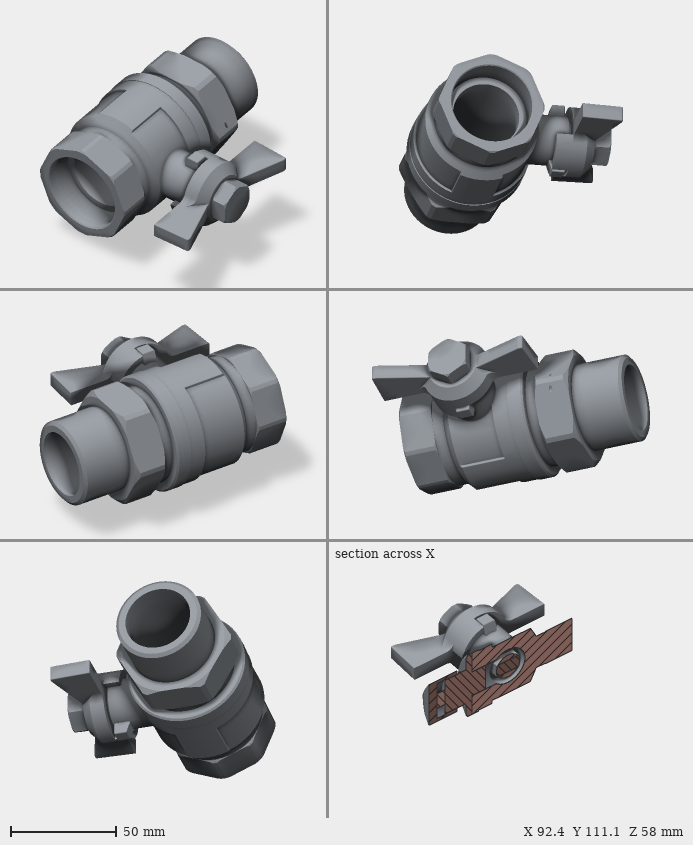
import cadquery as cq
import math


inlet_end = -38.5
octagon_back = -22.3
neck_back = -17.0
cone_start = -12.1
relief_back = 9.4
collar_start = 17.5
collar_joint = 21.8
collar_end = 25.1
union_front = 30.2
adapter_end = 37.8
tail_flange_end = 42.2
union_back = 47.4
tail_end = 72.1

bore_d = 32.0
inlet_bore_d = 39.0
inlet_mouth_d = 40.0
ball_d = 45.8
body_d = 57.2
relief_d = 54.8
collar_d = 58.0
inlet_neck_d = 47.8
adapter_neck_d = 48.4
tail_d = 42.0
tail_flange_d = 44.4

inlet_bore_depth = 14.8
octagon_flats = 47.9
octagon_corner_d = 51.0
octagon_bevel = 0.7
pad_half_width = 10.1
relief_fillet = 0.3
boss_d = 24.0
boss_end = 43.0
boss_chamfer = 0.3
boss_root_fillet = 0.9
lug_base_start = 34.3
lug_top_start = 36.1
lug_end = 42.2
lug_top = 17.3
lug_width = 6.7
lug_fillet = 0.5

adapter_plug_start = 13.3
collar_chamfer = 0.9
union_flats = 50.3
union_corner_d = 56.7
union_face_d = 51.5
union_chamfer = 1.7
seal_hole_d = 1.5
seal_hole_x = 26.7
seal_hole_y = 38.9
tail_chamfer_length = 1.3
tail_chamfer_depth = 1.7

stem_d = 20.0
stem_start = 26.7
stem_thread_d = 10.2
tang_length = 5.0
tang_width = 13.3
tang_thickness = 6.7
handle_base = 43.8
hub_d = 33.1
hub_cylinder_end = 50.8
hub_end = 55.3
skirt_start = 35.9
skirt_inner_d = 25.8
skirt_gap_y = 3.3
skirt_gap_z = 3.1
wing_thickness = 7.3
wing_half_span = 39.0
wing_tip_y = 38.1
wing_corner_y = 36.0
wing_root_y = 12.2
wing_edge_fillet = 0.4
wing_tip_fillet = 0.8
gusset_radius = 5.0
nut_end = 63.4
nut_flats = 18.8
nut_chamfer = 1.0


def cylinder_y(diameter, start, end):
    """Cylinder on the pipe axis."""
    return cq.Workplane("XZ", origin=(0, start, 0)).circle(diameter / 2).extrude(start - end)


def cylinder_x(diameter, start, end):
    """Cylinder on the stem axis."""
    return cq.Workplane("YZ", origin=(start, 0, 0)).circle(diameter / 2).extrude(end - start)


def turned_y(points):
    """Solid turned about the pipe axis from (radius, y) points."""
    return cq.Workplane("XY").polyline(points).close().revolve(360, (0, 0, 0), (0, 1, 0))


def turned_x(points):
    """Solid turned about the stem axis from (x, radius) points."""
    return cq.Workplane("XY").polyline(points).close().revolve(360, (0, 0, 0), (1, 0, 0))


def bevelled_blank(start, end, outer_d, face_d, bevel):
    """(axial place, radius) points of a cylinder whose two ends are bevelled to face_d."""
    return [
        (start, 0),
        (start, face_d / 2),
        (start + bevel, outer_d / 2),
        (end - bevel, outer_d / 2),
        (end, face_d / 2),
        (end, 0),
    ]


def swapped(points):
    return [(second, first) for first, second in points]


def polygon_prism_y(sides, flats, start, end):
    """Regular prism on the pipe axis with a corner on +X."""
    corner_d = flats / math.cos(math.pi / sides)
    return cq.Workplane("XZ", origin=(0, start, 0)).polygon(sides, corner_d).extrude(start - end)


def box_between(low, high):
    size = [b - a for a, b in zip(low, high)]
    return cq.Workplane("XY").box(*size, centered=False).translate(low)


def make_tang():
    """Flat tongue of the stem that turns the ball."""
    return box_between(
        (stem_start - tang_length, -tang_width / 2, -tang_thickness / 2),
        (stem_start, tang_width / 2, tang_thickness / 2),
    )


def make_lug(side):
    """Stop lug on the boss, on the +Z (side=1) or -Z (side=-1) side."""
    root = 0.4 * boss_d
    lug = (
        cq.Workplane("XZ", origin=(0, lug_width / 2, 0))
        .polyline([
            (lug_base_start, root),
            (lug_base_start, boss_d / 2),
            (lug_top_start, lug_top),
            (lug_end, lug_top),
            (lug_end, root),
        ])
        .close()
        .extrude(lug_width)
    )
    lug = lug.faces("<X or >X or >Z").edges("not <Z").fillet(lug_fillet)
    return lug if side > 0 else lug.mirror("XY")


def make_body_shell():
    """Outer turned shape of the housing with the two side reliefs that leave the marking pads."""
    cone_run = neck_back - cone_start
    body = turned_y([
        (0, octagon_back),
        (inlet_neck_d / 2, octagon_back),
        (inlet_neck_d / 2, neck_back),
        (body_d / 2 + cone_run, neck_back),
        (body_d / 2, cone_start),
        (body_d / 2, collar_start),
        (collar_d / 2, collar_start),
        (collar_d / 2, collar_joint),
        (0, collar_joint),
    ])
    ring = cylinder_y(2 * body_d, neck_back, relief_back).cut(cylinder_y(relief_d, neck_back, relief_back))
    for side in (1, -1):
        near, far = sorted((side * pad_half_width, side * body_d))
        relief = ring.intersect(box_between((near, neck_back, -body_d), (far, relief_back, body_d)))
        body = body.cut(relief)
    return body


def make_housing():
    body = make_body_shell()
    boss = cylinder_x(boss_d, 0, boss_end).faces(">X").chamfer(boss_chamfer)
    body = body.union(boss)

    root = cq.selectors.BoxSelector((body_d / 4, -boss_d, -boss_d), (0.6 * body_d, boss_d, boss_d))
    body = body.edges(root).edges("%BSPLINE").fillet(boss_root_fillet)
    for side_x in (1, -1):
        for side_z in (1, -1):
            foot = (side_x * pad_half_width, 0, side_z * math.sqrt(relief_d**2 / 4 - pad_half_width**2))
            body = body.edges("|Y").edges(cq.selectors.NearestToPointSelector(foot)).fillet(relief_fillet)

    for side in (1, -1):
        body = body.union(make_lug(side))

    octagon = polygon_prism_y(8, octagon_flats, inlet_end, octagon_back)
    blank = bevelled_blank(
        inlet_end, octagon_back, octagon_corner_d, octagon_corner_d - 2 * octagon_bevel, octagon_bevel
    )
    body = body.union(octagon.intersect(turned_y(swapped(blank))))

    mouth_bevel = (inlet_mouth_d - inlet_bore_d) / 2
    inlet_bore = turned_y([
        (0, inlet_end),
        (inlet_mouth_d / 2, inlet_end),
        (inlet_bore_d / 2, inlet_end + mouth_bevel),
        (inlet_bore_d / 2, inlet_end + inlet_bore_depth),
        (0, inlet_end + inlet_bore_depth),
    ])
    body = body.cut(inlet_bore)
    body = body.cut(cylinder_y(bore_d, inlet_end, 0))
    body = body.cut(cq.Workplane("XY").sphere(ball_d / 2))
    body = body.cut(cylinder_y(ball_d, 0, collar_joint))
    return body.cut(cylinder_x(stem_d, 0, boss_end))


def make_adapter():
    """End piece that closes the ball chamber and carries the union nut."""
    adapter = turned_y([
        (bore_d / 2, adapter_plug_start),
        (ball_d / 2, adapter_plug_start),
        (ball_d / 2, collar_joint),
        (collar_d / 2, collar_joint),
        (collar_d / 2, collar_end - collar_chamfer),
        (collar_d / 2 - collar_chamfer, collar_end),
        (adapter_neck_d / 2, collar_end),
        (adapter_neck_d / 2, adapter_end),
        (bore_d / 2, adapter_end),
    ])
    return adapter.cut(cq.Workplane("XY").sphere(ball_d / 2))


def make_union_nut():
    hexagon = polygon_prism_y(6, union_flats, union_front, union_back)
    blank = bevelled_blank(union_front, union_back, union_corner_d, union_face_d, union_chamfer)
    nut = hexagon.intersect(turned_y(swapped(blank)))
    nut = nut.cut(cylinder_y(adapter_neck_d, union_front, tail_flange_end))
    nut = nut.cut(cylinder_y(tail_d, union_front, union_back))
    seal_hole = (
        cq.Workplane("XY", origin=(seal_hole_x, seal_hole_y, 0))
        .circle(seal_hole_d / 2)
        .extrude(union_flats, both=True)
    )
    return nut.cut(seal_hole)


def make_tail():
    """Tail pipe whose flange is held between the adapter and the union nut."""
    return turned_y([
        (bore_d / 2, adapter_end),
        (tail_flange_d / 2, adapter_end),
        (tail_flange_d / 2, tail_flange_end),
        (tail_d / 2, tail_flange_end),
        (tail_d / 2, tail_end - tail_chamfer_length),
        (tail_d / 2 - tail_chamfer_depth, tail_end),
        (bore_d / 2, tail_end),
    ])


def make_ball():
    ball = cq.Workplane("XY").sphere(ball_d / 2)
    return ball.cut(cylinder_y(bore_d, -ball_d, ball_d)).cut(make_tang())


def make_stem():
    stem = cylinder_x(stem_d, stem_start, handle_base)
    return stem.union(cylinder_x(stem_thread_d, handle_base, nut_end)).union(make_tang())


def make_gusset(side_y, side_z):
    """Concave blend between the hub cylinder and one face of a wing."""
    hub_r = hub_d / 2
    center_r = hub_r + gusset_radius
    center_z = wing_thickness / 2 + gusset_radius
    center_y = math.sqrt(center_r**2 - center_z**2)
    on_hub = (center_y * hub_r / center_r, center_z * hub_r / center_r)
    on_wing = (center_y, wing_thickness / 2)
    middle_angle = (math.atan2(-center_z, -center_y) - math.pi / 2) / 2
    middle = (
        center_y + gusset_radius * math.cos(middle_angle),
        center_z + gusset_radius * math.sin(middle_angle),
    )
    gusset = (
        cq.Workplane("YZ", origin=(handle_base, 0, 0))
        .moveTo(0, 0)
        .lineTo(*on_hub)
        .threePointArc(middle, on_wing)
        .lineTo(center_y, 0)
        .close()
        .extrude(hub_end - handle_base)
    )
    if side_y < 0:
        gusset = gusset.mirror("XZ")
    return gusset if side_z > 0 else gusset.mirror("XY")


def make_wing(side):
    """Grip plate on the +Y (side=1) or -Y (side=-1) side of the hub."""
    wing = (
        cq.Workplane("XY", origin=(0, 0, -wing_thickness / 2))
        .polyline([
            (handle_base, stem_thread_d),
            (handle_base, wing_half_span),
            (nut_end, wing_tip_y),
            (nut_end, wing_corner_y),
            (hub_end, wing_root_y),
            (hub_end, stem_thread_d),
        ])
        .close()
        .extrude(wing_thickness)
    )
    tip = cq.selectors.BoxSelector((nut_end - 1.1, wing_corner_y - 1.1, -10), (nut_end + 1.1, wing_tip_y + 1.1, 10))
    wing = wing.edges("|Z").edges(tip).fillet(wing_tip_fillet)
    rim = cq.selectors.BoxSelector((handle_base + 1.1, wing_root_y + 1.1, -10), (nut_end + 1.1, wing_half_span + 1.1, 10))
    wing = wing.edges("#Z").edges(rim).fillet(wing_edge_fillet)
    return wing if side > 0 else wing.mirror("XZ")


def make_skirt(side):
    """Stop skirt of the handle: a quarter ring around the boss."""
    ring = cylinder_x(hub_d, skirt_start, handle_base).cut(
        cylinder_x(skirt_inner_d, skirt_start, handle_base)
    )
    quarter = ring.intersect(
        box_between((skirt_start, skirt_gap_y, skirt_gap_z), (handle_base, hub_d, hub_d))
    )
    return quarter if side > 0 else quarter.rotate((0, 0, 0), (1, 0, 0), 180)


def make_handle():
    hub = cylinder_x(hub_d, handle_base, hub_end)
    for side_y in (1, -1):
        for side_z in (1, -1):
            hub = hub.union(make_gusset(side_y, side_z))
    cone_r = hub_d / 2 + hub_cylinder_end - hub_end
    hub = hub.intersect(turned_x([
        (handle_base, 0),
        (handle_base, cone_r + hub_end - handle_base),
        (hub_end, cone_r),
        (hub_end, 0),
    ]))
    for side in (1, -1):
        hub = hub.union(make_wing(side)).union(make_skirt(side))
    return hub.cut(cylinder_x(stem_thread_d, handle_base, hub_end))


def make_handle_nut():
    corner_d = nut_flats / math.cos(math.pi / 6)
    hexagon = (
        cq.Workplane("YZ", origin=(hub_end, 0, 0))
        .polygon(6, corner_d)
        .extrude(nut_end - hub_end)
        .rotate((0, 0, 0), (1, 0, 0), 90)
    )
    nut = hexagon.intersect(
        turned_x(bevelled_blank(hub_end, nut_end, corner_d, corner_d - 2 * nut_chamfer, nut_chamfer))
    )
    return nut.cut(cylinder_x(stem_thread_d, hub_end, nut_end))


housing = make_housing()
adapter = make_adapter()
union_nut = make_union_nut()
tail = make_tail()
ball = make_ball()
stem = make_stem()
handle = make_handle()
handle_nut = make_handle_nut()

result = cq.Compound.makeCompound([
    housing.val(),
    adapter.val(),
    union_nut.val(),
    tail.val(),
    ball.val(),
    stem.val(),
    handle.val(),
    handle_nut.val(),
])